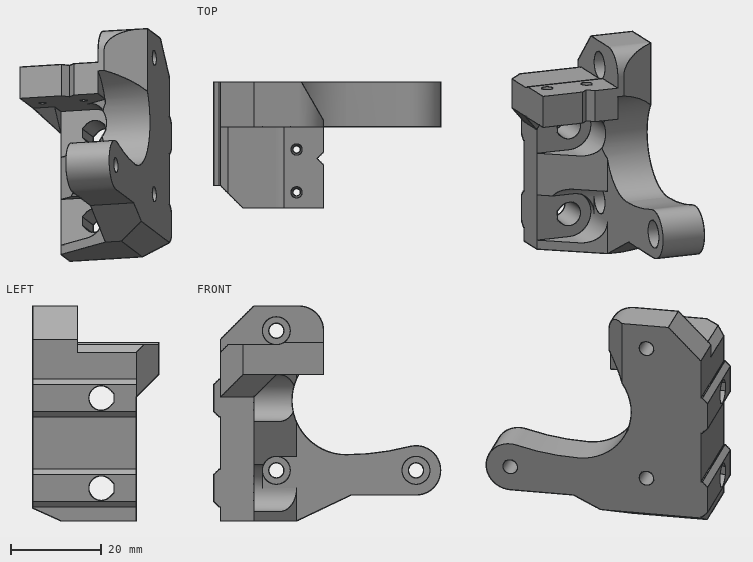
import cadquery as cq
import math

WALL_THICKNESS = 7.4
WALL_DEPTH = 23.0
PLATE_THICKNESS = 10.0
RAMP_END_X = 16.9

SCREW_PITCH = 31.0
SCREW_DIAMETER = 3.3
SCREW_HEAD_DIAMETER = 6.2
SCREW_FLOOR = 7.0
SCREW_X = 12.4
SCREW_Z = 11.25
BOSS_RADIUS = 5.5

MOTOR_X = SCREW_X + SCREW_PITCH / 2
MOTOR_Z = SCREW_Z + SCREW_PITCH / 2
MOTOR_BORE_RADIUS = 12.0

FAR_SCREW_X = SCREW_X + SCREW_PITCH
TOP_SCREW_Z = SCREW_Z + SCREW_PITCH
TOTAL_HEIGHT = TOP_SCREW_Z + BOSS_RADIUS
SCREW_HEAD_RADIUS = SCREW_HEAD_DIAMETER / 2

ARM_UNDERSIDE_START_X = 29.0
HEAD_WIDTH = 22.9
HEAD_CORNER_CHAMFER = 7.4
HEAD_SIDE_BEVEL = 4.95
HEAD_SIDE_BEVEL_ANGLE = 60.0
BOTTOM_BEVEL_HEIGHT = 2.85
BOTTOM_BEVEL_DEPTH = 6.3

BOLT_ZS = (7.3, 27.3)
BOLT_RADIUS = 2.7
BOLT_TEARDROP_REACH = 2.85
BOLT_POCKET_RADIUS = 5.2
BOLT_Y = -PLATE_THICKNESS - BOLT_POCKET_RADIUS

RAIL_HEIGHT = 1.5
RAIL_CHAMFER = 1.2
RAIL_HALF_WIDTH = 4.2

SHELF_DEPTH = 28.0
SHELF_BOTTOM = BOLT_ZS[1] + BOLT_POCKET_RADIUS
SHELF_TOP = 39.65
SHELF_LOW_TOP = TOP_SCREW_Z - SCREW_HEAD_RADIUS
SHELF_OVERHANG = SHELF_DEPTH - WALL_DEPTH
SHELF_EDGE_CHAMFER = 1.7
SWITCH_HOLE_X = 16.9
SWITCH_HOLE_YS = (-15.0, -24.5)
SWITCH_HOLE_DIAMETER = 1.6
SWITCH_HOLE_TOP_DIAMETER = 2.5
NOTCH_Y = -17.0
NOTCH_SIZE = 1.45

CLEARANCE = 5.0


def box(x_range, y_range, z_range):
    """Box spanning the given (low, high) ranges."""
    spans = [high - low for low, high in (x_range, y_range, z_range)]
    corner = (x_range[0], y_range[0], z_range[0])
    return cq.Workplane("XY").box(*spans, centered=False).translate(corner)


def xz_sketch(back_y):
    """Workplane in X and Z; extruding goes from back_y toward the front (-Y)."""
    return cq.Workplane("XZ", origin=(0, back_y, 0))


def y_cylinder(x, z, radius, back_y, front_y):
    """Cylinder along Y, spanning back_y to front_y."""
    return xz_sketch(back_y).center(x, z).circle(radius).extrude(back_y - front_y)


def motor_plate():
    """Plate with the upper head and the arm to the far screw, before the motor bore is cut."""
    diagonal = math.sqrt(0.5)
    bore_bottom = MOTOR_Z - MOTOR_BORE_RADIUS

    drop = bore_bottom - SCREW_Z
    edge_radius = (SCREW_PITCH**2 / 4 + drop**2 - BOSS_RADIUS**2) / (2 * (BOSS_RADIUS - drop))
    edge_center_z = bore_bottom + edge_radius
    edge_angle = math.asin(SCREW_PITCH / 2 / (edge_radius + BOSS_RADIUS))

    def edge_point(angle):
        return (MOTOR_X + edge_radius * math.sin(angle), edge_center_z - edge_radius * math.cos(angle))

    outline = (
        xz_sketch(0)
        .moveTo(0, 0)
        .lineTo(RAMP_END_X, 0)
        .lineTo(ARM_UNDERSIDE_START_X, SCREW_Z - BOSS_RADIUS)
        .lineTo(FAR_SCREW_X, SCREW_Z - BOSS_RADIUS)
        .threePointArc((FAR_SCREW_X + BOSS_RADIUS, SCREW_Z), edge_point(edge_angle))
        .threePointArc(edge_point(edge_angle / 2), (MOTOR_X, bore_bottom))
        .lineTo(MOTOR_X, MOTOR_Z)
        .lineTo(HEAD_WIDTH, MOTOR_Z)
        .lineTo(HEAD_WIDTH, TOP_SCREW_Z)
        .threePointArc(
            (HEAD_WIDTH - BOSS_RADIUS * (1 - diagonal), TOP_SCREW_Z + BOSS_RADIUS * diagonal),
            (HEAD_WIDTH - BOSS_RADIUS, TOTAL_HEIGHT),
        )
        .lineTo(HEAD_CORNER_CHAMFER, TOTAL_HEIGHT)
        .lineTo(0, TOTAL_HEIGHT - HEAD_CORNER_CHAMFER)
        .close()
    )
    plate = outline.extrude(PLATE_THICKNESS)

    bevel_depth = HEAD_SIDE_BEVEL * math.tan(math.radians(HEAD_SIDE_BEVEL_ANGLE))
    bevel = (
        cq.Workplane("XY", origin=(0, 0, MOTOR_Z))
        .polyline([(HEAD_WIDTH - HEAD_SIDE_BEVEL, 0), (HEAD_WIDTH, -bevel_depth), (HEAD_WIDTH, 0)])
        .close()
        .extrude(TOTAL_HEIGHT - MOTOR_Z)
    )
    return plate.cut(bevel)


def wall_with_ramp():
    """Mounting wall and the ramp from its front edge down to the plate."""
    footprint = [
        (0, 0),
        (0, -WALL_DEPTH),
        (WALL_THICKNESS, -WALL_DEPTH),
        (RAMP_END_X, -PLATE_THICKNESS),
        (WALL_THICKNESS, -PLATE_THICKNESS),
        (WALL_THICKNESS, 0),
    ]
    return cq.Workplane("XY").polyline(footprint).close().extrude(SHELF_BOTTOM)


def rail(z):
    """Locating rail with chamfered edges, running along Y on the wall."""
    tip_half_width = RAIL_HALF_WIDTH - RAIL_CHAMFER
    chamfer_x = RAIL_CHAMFER - RAIL_HEIGHT
    profile = [
        (0, z - RAIL_HALF_WIDTH),
        (chamfer_x, z - RAIL_HALF_WIDTH),
        (-RAIL_HEIGHT, z - tip_half_width),
        (-RAIL_HEIGHT, z + tip_half_width),
        (chamfer_x, z + RAIL_HALF_WIDTH),
        (0, z + RAIL_HALF_WIDTH),
    ]
    return xz_sketch(0).polyline(profile).close().extrude(WALL_DEPTH)


def bolt_cut(z):
    """Truncated teardrop bolt hole and the head pocket, open toward the front."""
    tangent = BOLT_RADIUS * math.sqrt(0.5)
    flat_half = 2 * tangent - BOLT_TEARDROP_REACH
    hole = (
        cq.Workplane("YZ", origin=(-RAIL_HEIGHT, BOLT_Y, z))
        .moveTo(-tangent, -tangent)
        .threePointArc((BOLT_RADIUS, 0), (-tangent, tangent))
        .lineTo(-BOLT_TEARDROP_REACH, flat_half)
        .lineTo(-BOLT_TEARDROP_REACH, -flat_half)
        .close()
        .extrude(RAIL_HEIGHT + RAMP_END_X)
    )
    pocket_length = RAMP_END_X + CLEARANCE - WALL_THICKNESS
    pocket = (
        cq.Workplane("YZ", origin=(WALL_THICKNESS, BOLT_Y, z))
        .circle(BOLT_POCKET_RADIUS)
        .extrude(pocket_length)
    )
    slot = box(
        (WALL_THICKNESS, WALL_THICKNESS + pocket_length),
        (-WALL_DEPTH, BOLT_Y),
        (z - BOLT_POCKET_RADIUS, z + BOLT_POCKET_RADIUS),
    )
    return hole.union(pocket).union(slot)


def screw_relief():
    """Clears the ramp beside the lower screw head so that it can be reached."""
    y_range = (-WALL_DEPTH, -PLATE_THICKNESS)
    x_end = RAMP_END_X + CLEARANCE
    beside = box((SCREW_X - SCREW_HEAD_RADIUS, x_end), y_range, (BOLT_ZS[0], SCREW_Z))
    above = box((SCREW_X, x_end), y_range, (SCREW_Z, SCREW_Z + SCREW_HEAD_RADIUS))
    return beside.union(above)


def shelf():
    """Switch shelf with a 45 degree support beneath the part in front of the wall."""
    y_range = (-SHELF_DEPTH, -PLATE_THICKNESS)
    low_side = box((0, SCREW_X), y_range, (SHELF_BOTTOM, SHELF_LOW_TOP))
    low_side = low_side.edges("|Y and <X and >Z").chamfer(SHELF_EDGE_CHAMFER)
    high_side = box((SCREW_X, HEAD_WIDTH), y_range, (SHELF_BOTTOM, SHELF_TOP))

    support_bottom = SHELF_BOTTOM - SHELF_OVERHANG
    slope = (
        cq.Workplane("YZ")
        .polyline([(-WALL_DEPTH, support_bottom), (-SHELF_DEPTH, SHELF_BOTTOM), (-WALL_DEPTH, SHELF_BOTTOM)])
        .close()
        .extrude(WALL_THICKNESS + SHELF_OVERHANG)
    )
    slope_side = (
        xz_sketch(-WALL_DEPTH)
        .polyline([
            (0, support_bottom),
            (WALL_THICKNESS, support_bottom),
            (WALL_THICKNESS + SHELF_OVERHANG, SHELF_BOTTOM),
            (0, SHELF_BOTTOM),
        ])
        .close()
        .extrude(SHELF_OVERHANG)
    )
    corner = (
        cq.Workplane("XY")
        .polyline([(0, -WALL_DEPTH), (SHELF_OVERHANG, -SHELF_DEPTH), (0, -SHELF_DEPTH)])
        .close()
        .extrude(TOTAL_HEIGHT)
    )
    notch = (
        cq.Workplane("XY")
        .polyline([
            (HEAD_WIDTH - NOTCH_SIZE, NOTCH_Y),
            (HEAD_WIDTH, NOTCH_Y + NOTCH_SIZE),
            (HEAD_WIDTH, NOTCH_Y - NOTCH_SIZE),
        ])
        .close()
        .extrude(TOTAL_HEIGHT)
    )
    body = low_side.union(high_side).union(slope.intersect(slope_side)).cut(corner).cut(notch)
    for y in SWITCH_HOLE_YS:
        body = body.cut(switch_hole(y))
    return body


def switch_hole(y):
    """Hole through the shelf that tapers from its wide mouth to its narrow bottom."""
    return (
        cq.Workplane("XY", origin=(SWITCH_HOLE_X, y, SHELF_BOTTOM))
        .circle(SWITCH_HOLE_DIAMETER / 2)
        .workplane(offset=SHELF_TOP - SHELF_BOTTOM)
        .circle(SWITCH_HOLE_TOP_DIAMETER / 2)
        .loft()
    )


def screw_cut(x, z):
    """Through hole and a head bore that stays open to the front."""
    shank = y_cylinder(x, z, SCREW_DIAMETER / 2, 0, -PLATE_THICKNESS)
    head = y_cylinder(x, z, SCREW_HEAD_RADIUS, -SCREW_FLOOR, -SHELF_DEPTH)
    return shank.union(head)


def bottom_bevel():
    """Bevel along the bottom back edge."""
    return (
        cq.Workplane("YZ", origin=(-RAIL_HEIGHT, 0, 0))
        .polyline([(0, 0), (-BOTTOM_BEVEL_DEPTH, 0), (0, BOTTOM_BEVEL_HEIGHT)])
        .close()
        .extrude(RAIL_HEIGHT + FAR_SCREW_X)
    )


result = motor_plate().union(wall_with_ramp())
result = result.cut(y_cylinder(MOTOR_X, MOTOR_Z, MOTOR_BORE_RADIUS, 0, -WALL_DEPTH))
for bolt_z in BOLT_ZS:
    result = result.union(rail(bolt_z))
for bolt_z in BOLT_ZS:
    result = result.cut(bolt_cut(bolt_z))
result = result.cut(screw_relief()).union(shelf())
for screw_x, screw_z in ((SCREW_X, SCREW_Z), (FAR_SCREW_X, SCREW_Z), (SCREW_X, TOP_SCREW_Z)):
    result = result.cut(screw_cut(screw_x, screw_z))
result = result.cut(bottom_bevel())